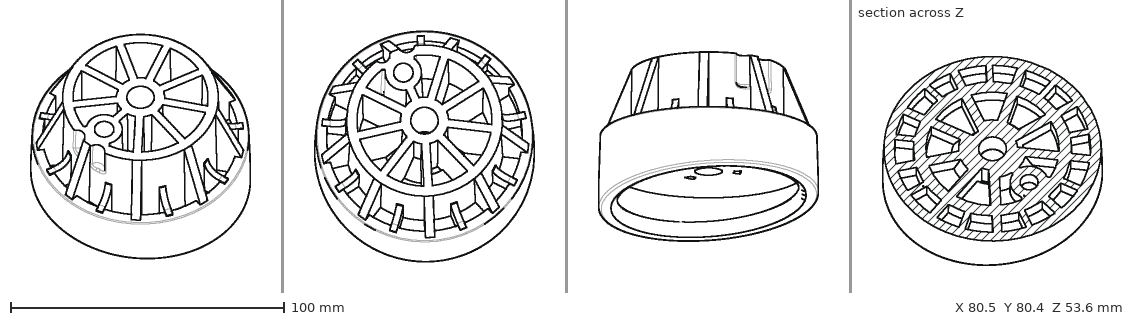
import cadquery as cq
import math

TOTAL_HEIGHT = 53.6
RING_TOP = 29.8
FLOOR = 19.3
PLATE_BOTTOM = 16.1
RING_BASE_RADIUS = 40.2
RING_MID_RADIUS = 40.15
RING_TOP_RADIUS = 39.7
BLANK_EXTRA = 4.0
RING_TOP_ROUND = 0.4
RING_BASE_ROUND = 0.8

SLANT_ANGLE = 6.7
SLANT_LOW_Y = 39.7
CAVITY_RADIUS = 35.7
BEAD_RADIUS = 3.0
BEAD_CENTRE_RADIUS = 36.3

MOAT_RADIUS = 35.8
HUB_TOP_RADIUS = 28.5
HUB_DRAFT = 1.0
BORE_RADIUS = 5.0
SPOKE_COUNT = 9
SPOKE_WIDTH = 3.05
POCKET_INNER_RADIUS = 8.85
POCKET_OUTER_RADIUS = 24.7
POCKET_DRAFT = 0.8
CONE_BASE_RADIUS = 15.1
CONE_HEIGHT = 12.9
VENT_OUTER_RADIUS = 12.0

BOSS_Y = -19.6
BOSS_RADIUS = 6.6
BOSS_CORNER_ROUND = 0.8
BOSS_HOLE_RADIUS = 3.55
BOSS_HOLE_BASE_RADIUS = 3.1

WEB_ROOT = 1.6
RIB_WIDTH = 3.4
RIB_FOOT_RADIUS = 38.2
FRONT_RIB_SHIFT = -0.5
GUSSET_WIDTH = 2.5
GUSSET_SHIFT = 0.65
GUSSET_TIP_RADIUS = 37.75
GUSSET_STEP = 0.5
GUSSET_SWEEP = 5.9

NOTCH_RADIUS = 3.0
NOTCH_SPACING = 9.8
NOTCH_SHIFT = -0.25
NOTCH_Y = -28.9
NOTCH_DEPTH = 12.4
NOTCH_END_ROUND = 1.45
NOTCH_MOUTH_ROUND = 0.8

PITCH = 360 / SPOKE_COUNT
SPOKE_ANGLES = [-90 + PITCH * i for i in range(SPOKE_COUNT)]
POCKET_ANGLES = [angle + PITCH / 2 for angle in SPOKE_ANGLES]
VENT_ANGLES = POCKET_ANGLES[1::3]
BOSS_SIDES = {POCKET_ANGLES[0]: 1, POCKET_ANGLES[-1]: -1}
POCKET_DEPTH = TOTAL_HEIGHT - FLOOR
BOSS_CORNER_Y = (POCKET_OUTER_RADIUS**2 - BOSS_RADIUS**2 + BOSS_Y**2) / (2 * BOSS_Y)
BOSS_CORNER_X = math.sqrt(POCKET_OUTER_RADIUS**2 - BOSS_CORNER_Y**2)
HUB_BASE_RADIUS = HUB_TOP_RADIUS + POCKET_DEPTH * math.tan(math.radians(HUB_DRAFT))


def spin(body, angle):
    return body.rotate((0, 0, 0), (0, 0, 1), angle)


def cylinder(radius, bottom, top):
    return cq.Workplane("XY", origin=(0, 0, bottom)).circle(radius).extrude(top - bottom)


def frustum(bottom_radius, top_radius, bottom, top):
    outline = [(0, bottom), (bottom_radius, bottom), (top_radius, top), (0, top)]
    return cq.Workplane("XZ").polyline(outline).close().revolve(360, (0, 0), (0, 1))


def outer_ring():
    """Bulged ring with a slanted base, a beaded cavity below and a moat above."""
    body = (
        cq.Workplane("XZ")
        .moveTo(0, -BLANK_EXTRA)
        .lineTo(RING_BASE_RADIUS, -BLANK_EXTRA)
        .lineTo(RING_BASE_RADIUS, 0)
        .threePointArc((RING_MID_RADIUS, RING_TOP / 2), (RING_TOP_RADIUS, RING_TOP))
        .lineTo(0, RING_TOP)
        .close()
        .revolve(360, (0, 0), (0, 1))
        .faces(">Z").edges().fillet(RING_TOP_ROUND)
    )
    reach = 2 * RING_BASE_RADIUS
    slope = math.tan(math.radians(SLANT_ANGLE))
    below_slant = (
        cq.Workplane("YZ")
        .moveTo(reach, (SLANT_LOW_Y - reach) * slope)
        .lineTo(-reach, (SLANT_LOW_Y + reach) * slope)
        .lineTo(-reach, -reach)
        .lineTo(reach, -reach)
        .close()
        .extrude(reach, both=True)
    )
    body = body.cut(below_slant)
    body = body.faces("<Z").edges().fillet(RING_BASE_ROUND)
    bead_section = cq.Workplane("XZ").center(BEAD_CENTRE_RADIUS, BEAD_RADIUS).circle(BEAD_RADIUS)
    bead = (
        bead_section.revolve(360, (-BEAD_CENTRE_RADIUS, 0), (-BEAD_CENTRE_RADIUS, 1))
        .rotate((0, 0, 0), (1, 0, 0), -SLANT_ANGLE)
        .translate((0, 0, SLANT_LOW_Y * slope))
    )
    body = body.cut(cylinder(CAVITY_RADIUS, -RING_TOP, PLATE_BOTTOM).cut(bead))
    return body.cut(cylinder(MOAT_RADIUS, FLOOR, TOTAL_HEIGHT))


def pocket_outline():
    """Sector between two spokes, centred on +X, drawn on the hub's top face."""
    half_pitch = math.radians(PITCH / 2)
    half_spoke = SPOKE_WIDTH / 2

    def corner(radius):
        angle = half_pitch - math.asin(half_spoke / radius)
        return radius * math.cos(angle), radius * math.sin(angle)

    inner_x, inner_y = corner(POCKET_INNER_RADIUS)
    outer_x, outer_y = corner(POCKET_OUTER_RADIUS)
    return (
        cq.Workplane("XY", origin=(0, 0, TOTAL_HEIGHT))
        .moveTo(inner_x, -inner_y)
        .lineTo(outer_x, -outer_y)
        .threePointArc((POCKET_OUTER_RADIUS, 0), (outer_x, outer_y))
        .lineTo(inner_x, inner_y)
        .threePointArc((POCKET_INNER_RADIUS, 0), (inner_x, -inner_y))
        .close()
    )


def pockets():
    """Cutters for the drafted pockets; three are vented, the others end on a cone."""
    plain = pocket_outline().extrude(-POCKET_DEPTH, taper=POCKET_DRAFT)
    cone = frustum(CONE_BASE_RADIUS, POCKET_INNER_RADIUS, FLOOR, FLOOR + CONE_HEIGHT)
    vent = pocket_outline().extrude(PLATE_BOTTOM - TOTAL_HEIGHT, taper=POCKET_DRAFT)
    vented = plain.union(vent.intersect(cylinder(VENT_OUTER_RADIUS, 0, TOTAL_HEIGHT)))
    coned = plain.cut(cone)

    boss_base_radius = BOSS_RADIUS + POCKET_DEPTH * math.tan(math.radians(POCKET_DRAFT))
    boss = frustum(boss_base_radius, BOSS_RADIUS, FLOOR, TOTAL_HEIGHT).translate((0, BOSS_Y, 0))
    corner_height = FLOOR + POCKET_DEPTH / 2
    cutters = []
    for angle in POCKET_ANGLES:
        cutter = spin(vented if angle in VENT_ANGLES else coned, angle)
        if angle in BOSS_SIDES:
            corner = (BOSS_SIDES[angle] * BOSS_CORNER_X, BOSS_CORNER_Y, corner_height)
            cutter = cutter.cut(boss)
            cutter = cutter.edges(cq.NearestToPointSelector(corner)).fillet(BOSS_CORNER_ROUND)
        cutters.append(cutter)
    return cutters


def radial_web(outline, width, shift, angle):
    """Upright web of a given width whose outline lies in the radius-height plane."""
    web = outline.extrude(width / 2, both=True).translate((0, shift, 0))
    return spin(web, angle)


def rib(angle, shift):
    outline = (
        cq.Workplane("XZ")
        .moveTo(POCKET_OUTER_RADIUS + WEB_ROOT, FLOOR)
        .lineTo(RIB_FOOT_RADIUS, FLOOR)
        .lineTo(RIB_FOOT_RADIUS, RING_TOP)
        .lineTo(HUB_TOP_RADIUS, TOTAL_HEIGHT)
        .lineTo(POCKET_OUTER_RADIUS + WEB_ROOT, TOTAL_HEIGHT)
        .close()
    )
    return radial_web(outline, RIB_WIDTH, shift, angle)


def gusset(angle):
    """Low web with a concave quarter-round rising from the ring to the hub."""
    step_top = RING_TOP + GUSSET_STEP
    sweep_centre = (HUB_BASE_RADIUS + GUSSET_SWEEP, step_top + GUSSET_SWEEP)
    sweep_reach = GUSSET_SWEEP * math.sqrt(0.5)
    outline = (
        cq.Workplane("XZ")
        .moveTo(POCKET_OUTER_RADIUS + WEB_ROOT, FLOOR)
        .lineTo(GUSSET_TIP_RADIUS, FLOOR)
        .lineTo(GUSSET_TIP_RADIUS, step_top)
        .lineTo(sweep_centre[0], step_top)
        .threePointArc(
            (sweep_centre[0] - sweep_reach, sweep_centre[1] - sweep_reach),
            (HUB_BASE_RADIUS, sweep_centre[1]),
        )
        .lineTo(POCKET_OUTER_RADIUS + WEB_ROOT, sweep_centre[1])
        .close()
    )
    return radial_web(outline, GUSSET_WIDTH, -GUSSET_SHIFT, angle)


def notch(x):
    """Upright round-ended notch in the outside of the hub wall."""
    return (
        cylinder(NOTCH_RADIUS, TOTAL_HEIGHT - NOTCH_DEPTH, TOTAL_HEIGHT)
        .faces("<Z").edges().fillet(NOTCH_END_ROUND)
        .translate((x, NOTCH_Y, 0))
    )


def hub_blank():
    """Solid drafted hub with two round-mouthed notches astride the front rib."""
    hub = frustum(HUB_BASE_RADIUS, HUB_TOP_RADIUS, FLOOR, TOTAL_HEIGHT)
    for side in (-1, 1):
        x = NOTCH_SHIFT + side * NOTCH_SPACING / 2
        hub = hub.cut(notch(x))
        mouth_x = x + side * NOTCH_RADIUS
        mouth_y = -math.sqrt(HUB_TOP_RADIUS**2 - mouth_x**2)
        mouth = (mouth_x, mouth_y, TOTAL_HEIGHT - NOTCH_DEPTH / 2)
        hub = hub.edges(cq.NearestToPointSelector(mouth)).fillet(NOTCH_MOUTH_ROUND)
    return hub


result = outer_ring().union(hub_blank())
for angle in SPOKE_ANGLES:
    is_front = angle == SPOKE_ANGLES[0]
    result = result.union(rib(angle, FRONT_RIB_SHIFT if is_front else 0))
for angle in POCKET_ANGLES:
    result = result.union(gusset(angle))
for pocket in pockets():
    result = result.cut(pocket)
result = result.cut(cylinder(BORE_RADIUS, 0, TOTAL_HEIGHT))
boss_hole = frustum(BOSS_HOLE_BASE_RADIUS, BOSS_HOLE_RADIUS, FLOOR, TOTAL_HEIGHT)
result = result.cut(boss_hole.translate((0, BOSS_Y, 0)))